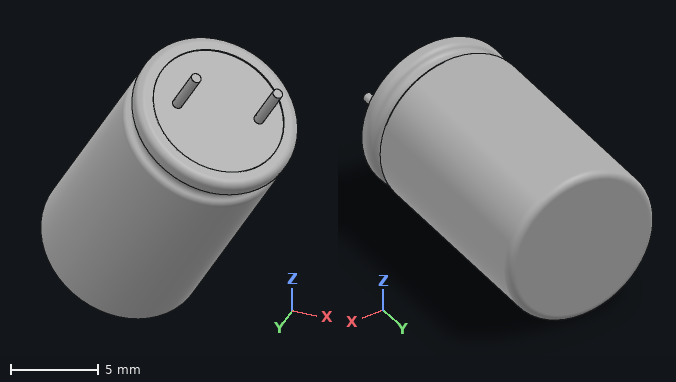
import cadquery as cq
import math


total_length = 19.2
lead_length = 3.0
can_diameter = 10.0
edge_radius = 0.5
groove_position = 1.63
groove_depth = 0.5
seal_diameter = 8.0
seal_recess = 0.1
lead_diameter = 0.6
lead_pitch = 5.0

can_radius = can_diameter / 2
can_length = total_length - lead_length
flat_radius = can_radius - edge_radius
groove_radius = can_radius - groove_depth

groove_angle = math.acos(1 - groove_depth / (2 * edge_radius))


def arc_offset(angle):
    """Axial and radial travel along an edge-radius arc, starting parallel to Y."""
    return edge_radius * math.sin(angle), edge_radius * (1 - math.cos(angle))


def make_can():
    """Revolve the half outline, with the crimp groove, about the Y axis."""
    half_run, half_drop = arc_offset(groove_angle)
    mid_run, mid_drop = arc_offset(groove_angle / 2)
    corner_run, corner_drop = arc_offset(math.pi / 4)
    groove_half_width = 2 * half_run

    groove_start = groove_position - groove_half_width
    groove_end = groove_position + groove_half_width
    top_arc_start = can_length - edge_radius

    outline = (
        cq.Workplane("XY")
        .lineTo(flat_radius, 0)
        .threePointArc(
            (can_radius - corner_drop, edge_radius - corner_run),
            (can_radius, edge_radius),
        )
        .lineTo(can_radius, groove_start)
        .threePointArc(
            (can_radius - mid_drop, groove_start + mid_run),
            (can_radius - half_drop, groove_start + half_run),
        )
        .threePointArc(
            (groove_radius, groove_position),
            (can_radius - half_drop, groove_end - half_run),
        )
        .threePointArc(
            (can_radius - mid_drop, groove_end - mid_run),
            (can_radius, groove_end),
        )
        .lineTo(can_radius, top_arc_start)
        .threePointArc(
            (can_radius - corner_drop, top_arc_start + corner_run),
            (flat_radius, can_length),
        )
        .lineTo(0, can_length)
        .close()
    )
    return outline.revolve(360, (0, 0, 0), (0, 1, 0))


def rod_along_y(diameter, y_start, y_end, x=0):
    """Round rod parallel to Y between two Y positions."""
    return cq.Workplane(
        cq.Solid.makeCylinder(
            diameter / 2,
            y_end - y_start,
            cq.Vector(x, y_start, 0),
            cq.Vector(0, 1, 0),
        )
    )


result = make_can().cut(rod_along_y(seal_diameter, 0, seal_recess))

for side in (-1, 1):
    lead = rod_along_y(lead_diameter, -lead_length, seal_recess, side * lead_pitch / 2)
    result = result.union(lead)